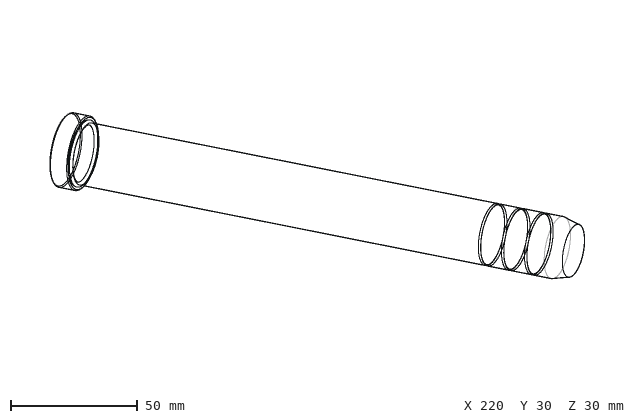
import cadquery as cq
import math

total_length = 220.0
shaft_diameter = 25.0

head_diameter = 30.0
head_thickness = 8.0
head_chamfer = 0.5

taper_length = 7.0
taper_angle = 15.0

undercut_radius = 1.0

groove_radius = 0.5
groove_count = 3
groove_pitch = 10.0
first_groove_center = 185.0

head_radius = head_diameter / 2
shaft_radius = shaft_diameter / 2
taper_start = total_length - taper_length
tip_radius = shaft_radius - taper_length * math.tan(math.radians(taper_angle))

AXIS_START = (0, 0, 0)
AXIS_END = (1, 0, 0)


def make_pin():
    """Headed pin with a tapered tip, revolved about the X axis."""
    return (
        cq.Workplane("XZ")
        .moveTo(0, 0)
        .lineTo(0, head_radius - head_chamfer)
        .lineTo(head_chamfer, head_radius)
        .lineTo(head_thickness - head_chamfer, head_radius)
        .lineTo(head_thickness, head_radius - head_chamfer)
        .lineTo(head_thickness, shaft_radius)
        .lineTo(taper_start, shaft_radius)
        .lineTo(total_length, tip_radius)
        .lineTo(total_length, 0)
        .close()
        .revolve(360, AXIS_START, AXIS_END)
    )


def make_ring_cutter(center, section_radius):
    """Ring of round section, centred on the shaft surface at X = center."""
    return (
        cq.Workplane("XZ")
        .moveTo(center, shaft_radius)
        .circle(section_radius)
        .revolve(360, AXIS_START, AXIS_END)
    )


def cut_undercut(body):
    """Relieve the corner where the shaft meets the head."""
    return body.cut(make_ring_cutter(head_thickness, undercut_radius))


def cut_grooves(body):
    """Cut the evenly spaced ring grooves near the free end."""
    for index in range(groove_count):
        groove_center = first_groove_center + index * groove_pitch
        body = body.cut(make_ring_cutter(groove_center, groove_radius))
    return body


result = cut_grooves(cut_undercut(make_pin()))